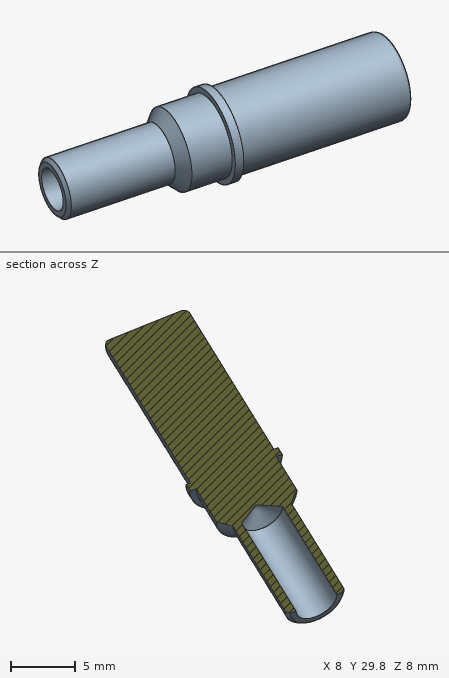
import cadquery as cq
import math

total_length = 29.83

body_radius = 3.65
collar_radius = 4.0
shoulder_radius = 3.5
neck_radius = 2.55
bore_radius = 1.75

taper_start = 9.45
taper_length = shoulder_radius - neck_radius
taper_end = taper_start + taper_length
collar_start = 13.95
collar_width = 0.75
collar_end = collar_start + collar_width

tip_chamfer = 0.3
rear_fillet = 0.55

bore_depth = taper_start
drill_point_angle = 118.0
drill_point_length = bore_radius / math.tan(math.radians(drill_point_angle / 2))

tip_y = -total_length / 2


def revolve_about_y(profile):
    """Turn a closed half profile (radius, y) a full revolution about the Y axis."""
    return profile.close().revolve(360, (0, 0, 0), (0, 1, 0))


def half_profile(points):
    """Join (radius, distance from tip) points with straight lines."""
    return cq.Workplane("XY").polyline([(radius, tip_y + distance) for radius, distance in points])


def make_pin():
    """Outer shape: neck, taper, shoulder, collar and rounded rear body."""
    pin = revolve_about_y(half_profile([
        (0, 0),
        (neck_radius - tip_chamfer, 0),
        (neck_radius, tip_chamfer),
        (neck_radius, taper_start),
        (shoulder_radius, taper_end),
        (shoulder_radius, collar_start),
        (collar_radius, collar_start),
        (collar_radius, collar_end),
        (body_radius, collar_end),
        (body_radius, total_length),
        (0, total_length),
    ]))
    return pin.faces(">Y").edges().fillet(rear_fillet)


def make_bore():
    """Drilled hole in the tip, including its conical bottom."""
    return revolve_about_y(half_profile([
        (0, 0),
        (bore_radius, 0),
        (bore_radius, bore_depth),
        (0, bore_depth + drill_point_length),
    ]))


result = make_pin().cut(make_bore())